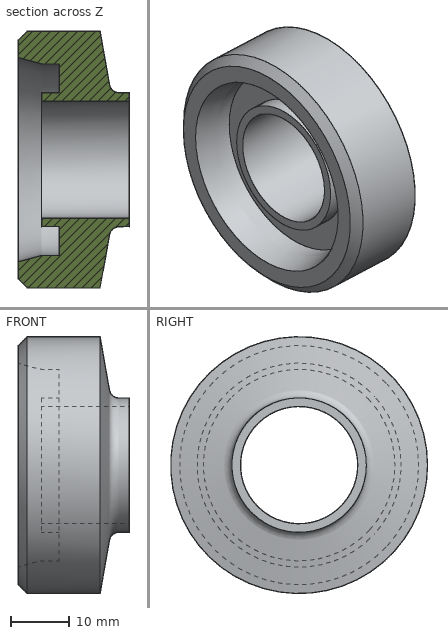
import cadquery as cq

total_length = 19.0
rim_length = 14.05
taper_depth = 4.0
pocket_depth = 7.0
hub_recess = 4.0

rim_radius = 44.0 / 2
hub_radius = 23.0 / 2
bore_radius = 20.0 / 2
pocket_mouth_radius = 17.45
pocket_floor_radius = 32.8 / 2

rim_chamfer = 1.55
web_cone_length = 1.85
hub_fillet = 1.55

web_end = rim_length + web_cone_length

profile = (
    cq.Workplane("XY")
    .moveTo(0, pocket_mouth_radius)
    .lineTo(0, rim_radius - rim_chamfer)
    .lineTo(rim_chamfer, rim_radius)
    .lineTo(rim_length, rim_radius)
    .lineTo(web_end, hub_radius)
    .lineTo(total_length, hub_radius)
    .lineTo(total_length, bore_radius)
    .lineTo(hub_recess, bore_radius)
    .lineTo(hub_recess, hub_radius)
    .lineTo(pocket_depth, hub_radius)
    .lineTo(pocket_depth, pocket_floor_radius)
    .lineTo(taper_depth, pocket_floor_radius)
    .close()
)
body = profile.revolve(360, (0, 0, 0), (1, 0, 0))

corner_margin = 0.2
corner_edge = cq.selectors.BoxSelector(
    (web_end - corner_margin, -rim_radius, -rim_radius),
    (web_end + corner_margin, rim_radius, rim_radius),
)
result = body.edges("%CIRCLE").edges(corner_edge).fillet(hub_fillet)